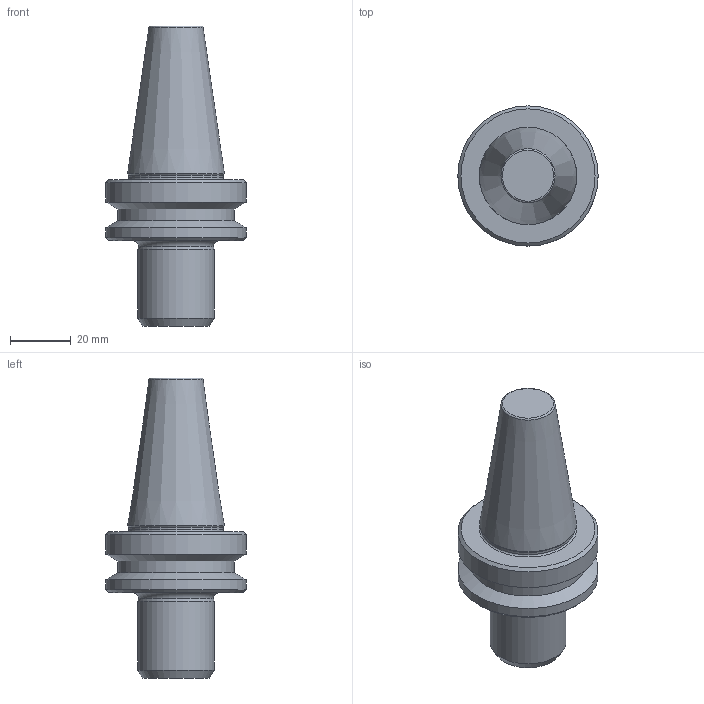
import cadquery as cq
import math


gauge_radius = 31.75 / 2
taper_length = 48.4
taper_slope = 7 / 48
taper_top_radius = gauge_radius - taper_slope * taper_length
taper_top_fillet = 0.5

relief_radius = 15.45
relief_start_z = -0.6
relief_fillet = 0.55

flange_radius = 23.0
flange_top_z = -2.0
flange_bottom_z = -22.0
flange_chamfer = 1.0
groove_radius = 19.1
groove_center_z = -13.55
groove_floor_width = 3.9
groove_side_angle = math.radians(30)
groove_floor_half = groove_floor_width / 2
groove_mouth_half = groove_floor_half + (flange_radius - groove_radius) * math.tan(groove_side_angle)

shank_radius = 12.5
shank_top_z = -24.9
shank_bottom_z = -50.0
shank_tip_radius = 11.0
shank_tip_angle = math.radians(30)
shank_tip_height = (shank_radius - shank_tip_radius) / math.tan(shank_tip_angle)
undercut_radius = 12.25
undercut_fillet = 2.0
undercut_end_z = flange_bottom_z - undercut_fillet


def fillet_midpoint(center_r, center_z, radius, r_side, z_side):
    """Middle of a quarter arc lying on the given side of its center."""
    offset = radius * math.sqrt(0.5)
    return (center_r + r_side * offset, center_z + z_side * offset)


def make_half_profile():
    """Closed half section in the XZ plane, from the top of the axis down to the bottom."""
    profile = cq.Workplane("XZ").moveTo(0, taper_length)

    profile = profile.lineTo(taper_top_radius, taper_length)
    profile = profile.lineTo(gauge_radius, 0)

    relief_fillet_r = relief_radius + relief_fillet
    relief_fillet_z = flange_top_z + relief_fillet
    relief_mid = fillet_midpoint(relief_fillet_r, relief_fillet_z, relief_fillet, -1, -1)
    profile = profile.lineTo(relief_radius, relief_start_z)
    profile = profile.lineTo(relief_radius, relief_fillet_z)
    profile = profile.threePointArc(relief_mid, (relief_fillet_r, flange_top_z))

    profile = profile.lineTo(flange_radius - flange_chamfer, flange_top_z)
    profile = profile.lineTo(flange_radius, flange_top_z - flange_chamfer)
    profile = profile.lineTo(flange_radius, groove_center_z + groove_mouth_half)
    profile = profile.lineTo(groove_radius, groove_center_z + groove_floor_half)
    profile = profile.lineTo(groove_radius, groove_center_z - groove_floor_half)
    profile = profile.lineTo(flange_radius, groove_center_z - groove_mouth_half)
    profile = profile.lineTo(flange_radius, flange_bottom_z + flange_chamfer)
    profile = profile.lineTo(flange_radius - flange_chamfer, flange_bottom_z)

    undercut_fillet_r = undercut_radius + undercut_fillet
    undercut_mid = fillet_midpoint(undercut_fillet_r, undercut_end_z, undercut_fillet, -1, 1)
    profile = profile.lineTo(undercut_fillet_r, flange_bottom_z)
    profile = profile.threePointArc(undercut_mid, (undercut_radius, undercut_end_z))

    profile = profile.lineTo(shank_radius, shank_top_z)
    profile = profile.lineTo(shank_radius, shank_bottom_z + shank_tip_height)
    profile = profile.lineTo(shank_tip_radius, shank_bottom_z)
    profile = profile.lineTo(0, shank_bottom_z)
    return profile.close()


holder = make_half_profile().revolve(360, (0, 0, 0), (0, 1, 0))
result = holder.faces(">Z").edges().fillet(taper_top_fillet)